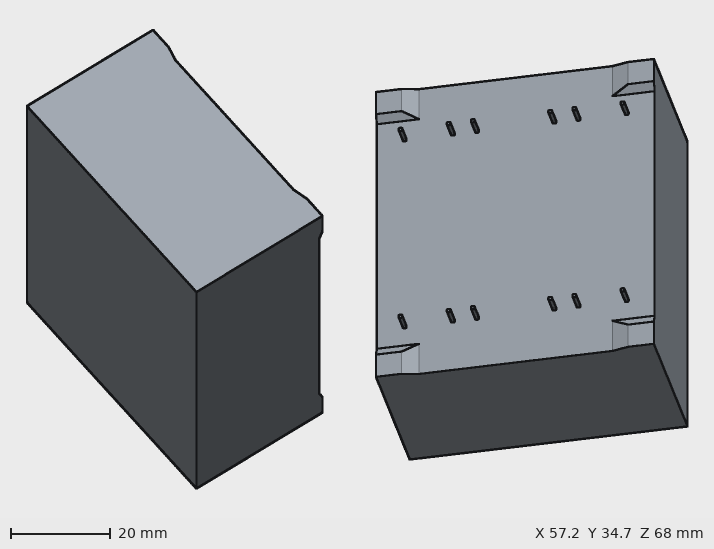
import cadquery as cq

width = 57.2
total_depth = 34.7
height = 68.0

body_depth = 31.55
recess_depth = 0.8
foot_height = 5.3
foot_width = 5.3
ramp_height = 1.9
ramp_width = 3.4

pin_diameter = 0.8
pin_offsets = (7.95, 12.9, 22.85)
row_offset = 22.3

floor_y = body_depth - recess_depth


def channel_profile(plane, span, flat, ramp):
    """Trapezoid channel section that leaves a sloped foot at both ends of the span."""
    top = span / 2 - flat
    bottom = top - ramp
    return plane.polyline(
        [(-top, body_depth), (-bottom, floor_y), (bottom, floor_y), (top, body_depth)]
    ).close()


def make_body():
    """Block whose crossing channels leave four feet on the back face."""
    block = cq.Workplane("XY").box(width, body_depth, height, centered=(True, False, True))
    upright = channel_profile(
        cq.Workplane("XY"), width, foot_width, ramp_width
    ).extrude(height / 2, both=True)
    side_plane = cq.Workplane(cq.Plane((0, 0, 0), xDir=(0, 0, 1), normal=(-1, 0, 0)))
    crosswise = channel_profile(
        side_plane, height, foot_height, ramp_height
    ).extrude(width / 2, both=True)
    return block.cut(upright).cut(crosswise)


def make_pins():
    """Both rows of pins, from the recess floor to the full depth."""
    centers = [
        (side * offset, row * row_offset)
        for row in (-1, 1)
        for side in (-1, 1)
        for offset in pin_offsets
    ]
    return (
        cq.Workplane("XZ", origin=(0, floor_y, 0))
        .pushPoints(centers)
        .circle(pin_diameter / 2)
        .extrude(floor_y - total_depth)
    )


result = make_body().union(make_pins())